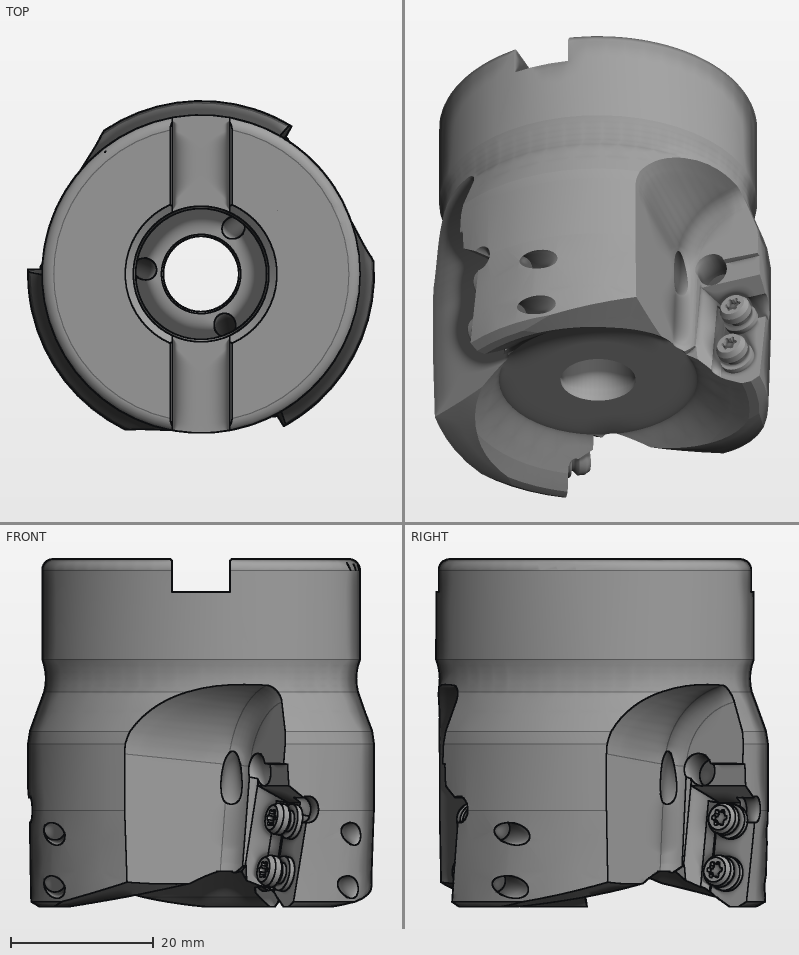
import cadquery as cq
import math


height = 48.8
collar_radius = 22.3
collar_bottom = 34.75
collar_edge_radius = 1.6
neck_radius = 21.8
neck_middle = 32.7
neck_bottom = 30.15
neck_bottom_radius = 22.0
cone_bottom = 24.65
cone_bottom_radius = 24.0
cutting_diameter = 48.55
cutting_radius = cutting_diameter / 2
cylinder_top = 22.9
taper_top = 13.55
tip_radius = 23.85
tip_chamfer_width = 1.25
tip_chamfer_height = 0.75

slot_width = 8.1
slot_depth = 4.65
slot_edge_chamfer = 0.3
bore_radius = 9.5
bore_depth = 18.05
bore_step_radius = 9.15
bore_step_depth = 10.95
bore_step_height = 0.5
bore_chamfer = 1.1
through_radius = 5.25
through_chamfer = 0.3

recess_depth = 5.03
recess_mouth_radius = 21.2
recess_edge_radius = 18.8
recess_edge_depth = 1.4
recess_floor_radius = 13.9

flute_count = 3
flute_tilt = 5.0
flute_wall_angle = -58.5
flute_wall_distance = 13.0
flute_end = -3.02
flute_roof_start = 19.6
flute_roof_radius = 11.45
flute_corner_radius = 2.25
flute_reach = 34.15

relief_slope = 16.8
relief_uphill_angle = 6.5
relief_axis_height = -2.75
relief_cone_angle = 22.9
relief_from_angle = 195.0
relief_to_angle = 294.0

seat_tilt = 10.0
seat_angle = 29.0
seat_distance = 1.45
pocket_wall = 15.35
pocket_wall_rise = 2.45
pocket_wall_foot = -2.45
pocket_mouth = -7.3
seat_top = 15.12
ramp_knee = -2.35
ramp_knee_height = 16.85
ramp_top = 19.75
ramp_mouth = -3.05
seat_relief_radius = 1.85
seat_relief_height = 14.15
seat_relief_depth = 2.95
groove_radius = 0.95
groove_inset = 1.05
corner_relief_radius = 2.15
corner_relief_across = 17.15
corner_relief_height = 19.0
corner_relief_end = 0.25

coolant_radius = 1.5
coolant_start_radius = 7.9
coolant_start_angle = -65.0
coolant_exit_radius = 14.15
coolant_exit_angle = -72.3
coolant_exit_height = 16.7

screw_across = 20.35
screw_heights = (4.95, 12.35)
shank_radius = 1.5
shank_length = 5.85
flange_radius = 2.45
flange_thickness = 0.8
neck_length = 0.6
head_taper = 0.6
head_radius = 2.2
head_straight = 1.0
head_rim = 0.75
head_face_radius = 1.75
socket_depth = 1.0
socket_core_radius = 0.95
socket_lobe_radius = 0.3
socket_lobe_count = 6


def direction(angle, slope=0.0):
    """Unit vector at an angle about Z, raised from the XY plane by a slope."""
    a = math.radians(angle)
    b = math.radians(slope)
    return cq.Vector(math.cos(a) * math.cos(b), math.sin(a) * math.cos(b), math.sin(b))


def around_axis(shape, index):
    """The copy of a shape that belongs to the flute with the given index."""
    return shape.rotate((0, 0, 0), (0, 0, 1), index * 360.0 / flute_count)


flute_along = direction(flute_wall_angle + 90, -flute_tilt)
flute_frame = cq.Plane(
    origin=(flute_along * flute_end).toTuple(),
    xDir=direction(flute_wall_angle).toTuple(),
    normal=(flute_along * -1).toTuple(),
)

seat_into = direction(seat_angle, -seat_tilt)
seat_across = direction(seat_angle - 90)
seat_frame = cq.Plane(origin=(0, 0, 0), xDir=seat_into.toTuple(), normal=seat_across.toTuple())


def turned_blank():
    """Solid of revolution with the collar, neck, cone and slightly tapered cutting end."""
    return (
        cq.Workplane("XZ")
        .moveTo(0, 0)
        .lineTo(tip_radius - tip_chamfer_width, 0)
        .lineTo(tip_radius, tip_chamfer_height)
        .lineTo(cutting_radius, taper_top)
        .lineTo(cutting_radius, cylinder_top)
        .lineTo(cone_bottom_radius, cone_bottom)
        .lineTo(neck_bottom_radius, neck_bottom)
        .threePointArc((neck_radius, neck_middle), (collar_radius, collar_bottom))
        .lineTo(collar_radius, height - collar_edge_radius)
        .radiusArc((collar_radius - collar_edge_radius, height), -collar_edge_radius)
        .lineTo(0, height)
        .close()
        .revolve(360, (0, 0, 0), (0, 1, 0))
    )


def mounting_bore():
    """Stepped bore along the axis with a chamfer on each step."""
    floor = height - bore_depth
    return (
        cq.Workplane("XZ")
        .moveTo(0, 0)
        .lineTo(through_radius, 0)
        .lineTo(through_radius, floor - through_chamfer)
        .lineTo(through_radius + through_chamfer, floor)
        .lineTo(bore_step_radius, floor)
        .lineTo(bore_step_radius, height - bore_step_depth - bore_step_height)
        .lineTo(bore_radius, height - bore_step_depth)
        .lineTo(bore_radius, height - bore_chamfer)
        .lineTo(bore_radius + bore_chamfer, height)
        .lineTo(0, height)
        .close()
        .revolve(360, (0, 0, 0), (0, 1, 0))
    )


def drive_slot():
    """Slot across the top face, running along Y, with chamfered upper edges."""
    half = slot_width / 2
    return (
        cq.Workplane("XZ")
        .moveTo(-half, height - slot_depth)
        .lineTo(half, height - slot_depth)
        .lineTo(half, height - slot_edge_chamfer)
        .lineTo(half + slot_edge_chamfer, height)
        .lineTo(-half - slot_edge_chamfer, height)
        .lineTo(-half, height - slot_edge_chamfer)
        .close()
        .extrude(cutting_radius, both=True)
    )


def end_recess():
    """Flat-floored recess in the cutting end with a two-step conical side."""
    return (
        cq.Workplane("XZ")
        .moveTo(0, 0)
        .lineTo(recess_mouth_radius, 0)
        .lineTo(recess_edge_radius, recess_edge_depth)
        .lineTo(recess_floor_radius, recess_depth)
        .lineTo(0, recess_depth)
        .close()
        .revolve(360, (0, 0, 0), (0, 1, 0))
    )


def flute():
    """Long wall that curves outward at the top, closed by a filleted end wall."""
    roof = flute_roof_start + flute_roof_radius
    cutter = (
        cq.Workplane("XY")
        .moveTo(flute_wall_distance, -flute_reach)
        .lineTo(flute_wall_distance, flute_roof_start)
        .radiusArc((flute_wall_distance + flute_roof_radius, roof), flute_roof_radius)
        .lineTo(flute_reach, roof)
        .lineTo(flute_reach, -flute_reach)
        .close()
        .extrude(flute_reach)
        .faces("<Z")
        .edges("<X or %CIRCLE")
        .fillet(flute_corner_radius)
    )
    return cutter.val().moved(flute_frame.location)


def insert_pocket():
    """Seat for an insert, with an overhanging ramp above it and relief cuts in its corners."""
    pocket = (
        cq.Workplane("XY")
        .workplane(offset=pocket_wall)
        .moveTo(seat_distance, -flute_reach)
        .lineTo(seat_distance, seat_top)
        .lineTo(ramp_knee, ramp_knee_height)
        .lineTo(ramp_mouth, ramp_top)
        .lineTo(pocket_mouth, ramp_top)
        .lineTo(pocket_mouth, -flute_reach)
        .close()
        .extrude(flute_reach)
    )
    sloped_wall = (
        cq.Workplane("XZ")
        .moveTo(pocket_wall_foot, pocket_wall)
        .lineTo(seat_distance, pocket_wall)
        .lineTo(seat_distance, pocket_wall + pocket_wall_rise)
        .close()
        .extrude(flute_reach, both=True)
    )
    pocket = pocket.cut(sloped_wall)
    seat_relief = (
        cq.Workplane("XY")
        .workplane(offset=cutting_radius - seat_relief_depth)
        .center(seat_distance, seat_relief_height)
        .circle(seat_relief_radius)
        .extrude(flute_reach)
    )
    corner_groove = (
        cq.Workplane("XZ", origin=(seat_distance - groove_inset, seat_top, pocket_wall + pocket_wall_rise))
        .circle(groove_radius)
        .extrude(flute_reach)
    )
    corner_relief = (
        cq.Workplane("YZ", origin=(pocket_mouth, corner_relief_height, corner_relief_across))
        .circle(corner_relief_radius)
        .extrude(corner_relief_end - pocket_mouth)
    )
    cutter = pocket.union(seat_relief).union(corner_groove).union(corner_relief)
    return cutter.val().moved(seat_frame.location)


def tooth_relief():
    """Tilted conical cut under the sector of one tooth, rising from its cutting edge to its tail."""
    start = direction(relief_from_angle) * flute_reach
    middle = direction((relief_from_angle + relief_to_angle) / 2) * flute_reach
    end = direction(relief_to_angle) * flute_reach
    sector = (
        cq.Workplane("XY")
        .lineTo(start.x, start.y)
        .threePointArc((middle.x, middle.y), (end.x, end.y))
        .close()
        .extrude(height / 2)
    )
    tilted_frame = cq.Plane(
        origin=(0, 0, relief_axis_height),
        xDir=direction(relief_uphill_angle, relief_slope).toTuple(),
        normal=direction(relief_uphill_angle + 180, 90 - relief_slope).toTuple(),
    )
    cone_reach = 2 * flute_reach
    below = (
        cq.Workplane("XZ")
        .lineTo(cone_reach, cone_reach * math.tan(math.radians(relief_cone_angle)))
        .lineTo(cone_reach, -height)
        .lineTo(0, -height)
        .close()
        .revolve(360, (0, 0, 0), (0, 1, 0))
    )
    below = cq.Workplane(below.val().moved(tilted_frame.location))
    return sector.intersect(below).val()


def coolant_hole():
    """Inclined hole from the bore floor into the flute."""
    floor = cq.Vector(0, 0, height - bore_depth)
    start = direction(coolant_start_angle) * coolant_start_radius + floor
    exit_point = direction(coolant_exit_angle) * coolant_exit_radius
    along = exit_point + cq.Vector(0, 0, coolant_exit_height) - start
    overrun = along.normalized() * (2 * coolant_radius)
    length = along.Length + 2 * overrun.Length
    return cq.Solid.makeCylinder(coolant_radius, length, start - overrun, along)


def screw_frame(screw_height):
    """Frame on the seat face at one screw, with Z along the screw into the seat."""
    origin = seat_frame.toWorldCoords((seat_distance, screw_height, screw_across))
    return cq.Plane(origin=origin.toTuple(), xDir=seat_across.toTuple(), normal=seat_into.toTuple())


def screw_hole(screw_height):
    """Hole from the seat through the tooth to its outer surface."""
    hole = cq.Workplane("XY").circle(shank_radius).extrude(cutting_radius)
    return hole.val().moved(screw_frame(screw_height).location)


def clamping_screw(screw_height):
    """Screw with a flange on the seat, a waisted head and a six-lobed socket."""
    flange_front = -flange_thickness
    neck_front = flange_front - neck_length
    head_back = neck_front - head_taper
    head_front = head_back - head_straight
    face = head_front - head_rim
    turned = (
        cq.Workplane("XZ")
        .moveTo(0, face)
        .lineTo(head_face_radius, face)
        .lineTo(head_radius, head_front)
        .lineTo(head_radius, head_back)
        .lineTo(shank_radius, neck_front)
        .lineTo(shank_radius, flange_front)
        .lineTo(flange_radius, flange_front)
        .lineTo(flange_radius, 0)
        .lineTo(shank_radius, 0)
        .lineTo(shank_radius, shank_length)
        .lineTo(0, shank_length)
        .close()
        .revolve(360, (0, 0, 0), (0, 1, 0))
    )
    socket = cq.Workplane("XY", origin=(0, 0, face)).circle(socket_core_radius).extrude(socket_depth)
    lobes = (
        cq.Workplane("XY", origin=(0, 0, face))
        .polarArray(socket_core_radius, 0, 360, socket_lobe_count)
        .circle(socket_lobe_radius)
        .extrude(socket_depth)
    )
    return turned.cut(socket).cut(lobes).solids().val().moved(screw_frame(screw_height).location)


cutter_body = turned_blank().cut(mounting_bore()).cut(drive_slot()).cut(end_recess())
tooth_cuts = [flute(), insert_pocket(), tooth_relief(), coolant_hole()]
tooth_cuts += [screw_hole(screw_height) for screw_height in screw_heights]
for index in range(flute_count):
    for cut in tooth_cuts:
        cutter_body = cutter_body.cut(cq.Workplane(around_axis(cut, index)))

screws = []
for index in range(flute_count):
    for screw_height in screw_heights:
        screws.append(around_axis(clamping_screw(screw_height), index))

result = cq.Compound.makeCompound([cutter_body.solids().val(), *screws])